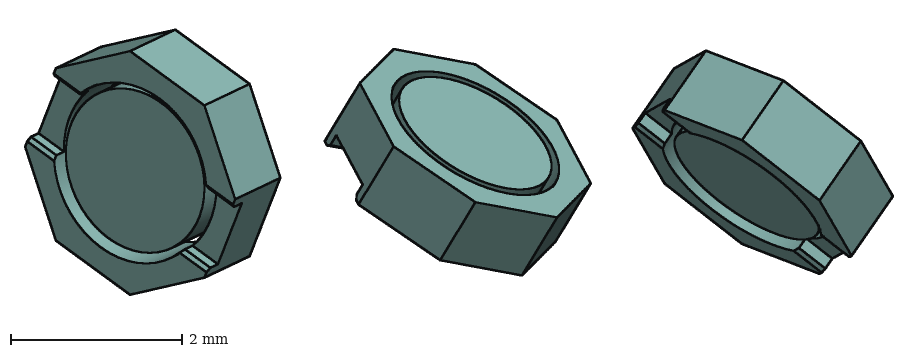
import cadquery as cq
import math

across_flats = 2.8
thickness = 0.9
bore_radius = 1.1
flat_count = 8
across_corners = across_flats / math.cos(math.pi / flat_count)

radial_gap = 0.1
disc_radius = bore_radius - radial_gap
disc_recess = 0.1

slot_width = 0.9
slot_depth = 0.2
slot_chamfer = 0.05
slot_length = across_corners
slot_tilt = 180 / flat_count


def front_plane(depth=0.0):
    """XZ sketch plane set back from the front face, extruding toward the back (+Y)."""
    return cq.Plane(origin=(0, depth, 0), xDir=(1, 0, 0), normal=(0, 1, 0))


def make_slot():
    """Slot cutter with 45-degree flared edges at the front face."""
    half_floor = slot_width / 2
    half_mouth = half_floor + slot_chamfer
    profile = [
        (slot_depth, -half_floor),
        (slot_depth, half_floor),
        (slot_chamfer, half_floor),
        (0, half_mouth),
        (0, -half_mouth),
        (slot_chamfer, -half_floor),
    ]
    return (
        cq.Workplane("YZ")
        .polyline(profile)
        .close()
        .extrude(slot_length / 2, both=True)
        .rotate((0, 0, 0), (0, 1, 0), slot_tilt)
    )


def make_ring():
    """Octagonal ring with corners on the X and Z axes, bored through and slotted."""
    blank = (
        cq.Workplane(front_plane())
        .polygon(flat_count, across_corners)
        .circle(bore_radius)
        .extrude(thickness)
    )
    return blank.cut(make_slot())


def make_disc():
    """Plain round disc, set back slightly from the ring's front face."""
    return (
        cq.Workplane(front_plane(disc_recess))
        .circle(disc_radius)
        .extrude(thickness - disc_recess)
    )


ring = make_ring()
disc = make_disc()

result = cq.Compound.makeCompound([ring.val(), disc.val()])